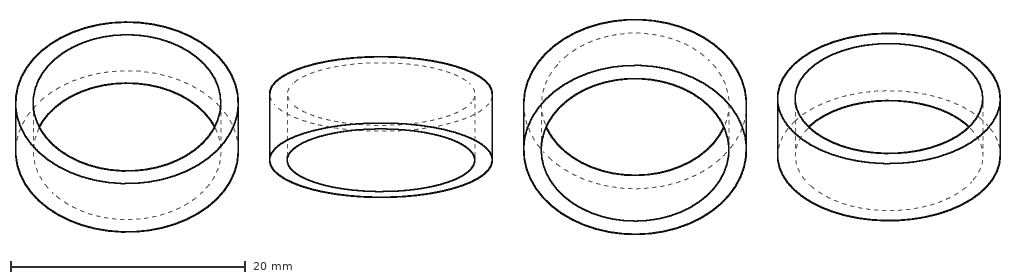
import cadquery as cq

outer_diameter = 19.0
bore_diameter = 16.0
height = 6.0

result = (
    cq.Workplane("XY")
    .circle(outer_diameter / 2)
    .circle(bore_diameter / 2)
    .extrude(height)
)